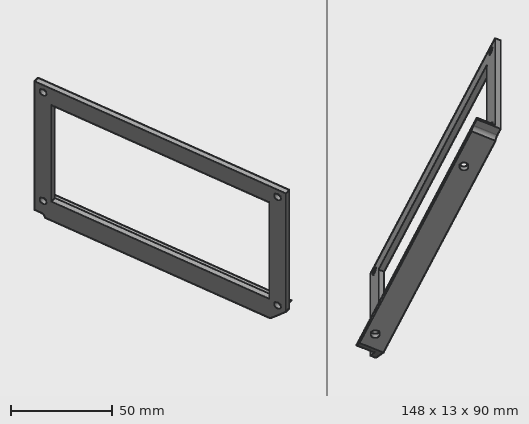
import cadquery as cq
import math

width = 148.0
height = 90.0
plate_thickness = 3.1
corner_chamfer = 9.2

window_width = 128.0
window_height = 65.7
window_left = (width - window_width) / 2
window_bottom = 13.0

plate_hole_diameter = 4.0
plate_hole_inset = 5.0
plate_hole_pitch_z = 74.0

shelf_depth = 13.0
shelf_thickness = 4.0
shelf_hole_diameter = 4.5
shelf_hole_back_inset = 4.9
shelf_hole_xs = (25.9, 131.0)

notch_radius = 2.2
notch_center_x = 3.8

fillet_left = 34.0
fillet_right = 114.0
fillet_radius = 2.5


def box(x, y, z, length, depth, tall):
    """Box with its lowest corner at (x, y, z)."""
    return cq.Workplane("XY").box(length, depth, tall, centered=False).translate((x, y, z))


def make_angle():
    """Plate and shelf as one L-shaped length."""
    plate = box(0, 0, 0, width, plate_thickness, height)
    shelf = box(0, 0, 0, width, shelf_depth, shelf_thickness)
    return plate.union(shelf)


def make_fillet_strip():
    """Concave fillet whose two ends also run out onto the shelf in concave arcs."""
    radius = fillet_radius
    arc_reach = radius * (1 - math.sqrt(0.5))
    top_z = shelf_thickness + radius
    arc_z = shelf_thickness + arc_reach
    along = (
        cq.Workplane("YZ")
        .moveTo(plate_thickness, shelf_thickness)
        .lineTo(plate_thickness + radius, shelf_thickness)
        .threePointArc((plate_thickness + arc_reach, arc_z), (plate_thickness, top_z))
        .close()
        .extrude(fillet_right - fillet_left)
        .translate((fillet_left, 0, 0))
    )
    ends = (
        cq.Workplane("XZ")
        .moveTo(fillet_left, shelf_thickness)
        .lineTo(fillet_right, shelf_thickness)
        .threePointArc((fillet_right - radius + arc_reach, arc_z), (fillet_right - radius, top_z))
        .lineTo(fillet_left + radius, top_z)
        .threePointArc((fillet_left + radius - arc_reach, arc_z), (fillet_left, shelf_thickness))
        .close()
        .extrude(-shelf_depth)
    )
    return along.intersect(ends)


def make_window():
    return box(window_left, 0, window_bottom, window_width, plate_thickness, window_height)


def make_plate_holes():
    top_z = height - plate_hole_inset
    centers = [
        (x, z)
        for x in (plate_hole_inset, width - plate_hole_inset)
        for z in (top_z - plate_hole_pitch_z, top_z)
    ]
    return (
        cq.Workplane("XZ")
        .pushPoints(centers)
        .circle(plate_hole_diameter / 2)
        .extrude(-plate_thickness)
    )


def make_shelf_holes():
    hole_y = shelf_depth - shelf_hole_back_inset
    return (
        cq.Workplane("XY")
        .pushPoints([(x, hole_y) for x in shelf_hole_xs])
        .circle(shelf_hole_diameter / 2)
        .extrude(shelf_thickness)
    )


def make_notch():
    """Slot end centred on the bottom edge and open toward the left side."""
    slot = box(0, 0, 0, notch_center_x, shelf_depth, notch_radius)
    round_end = (
        cq.Workplane("XZ")
        .center(notch_center_x, 0)
        .circle(notch_radius)
        .extrude(-shelf_depth)
    )
    return slot.union(round_end)


def make_corner_cut():
    """Wedge that chamfers the lower right corner of plate and shelf."""
    return (
        cq.Workplane("XZ")
        .moveTo(width - corner_chamfer, 0)
        .lineTo(width, 0)
        .lineTo(width, corner_chamfer)
        .close()
        .extrude(-shelf_depth)
    )


result = (
    make_angle()
    .union(make_fillet_strip())
    .cut(make_window())
    .cut(make_plate_holes())
    .cut(make_shelf_holes())
    .cut(make_notch())
    .cut(make_corner_cut())
)